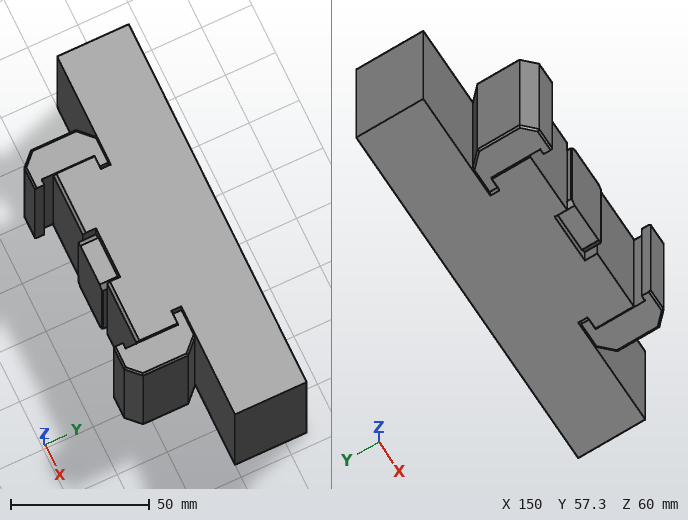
import cadquery as cq

plate_length = 150.0
plate_depth = 28.6
height = 60.0
overall_depth = 57.3

body_half_width = 35.0
body_projection = 20.4
groove_half_width = 29.7
groove_width = 3.9
body_bevel_depth = 1.2
body_bevel_drop = 0.9

channel_width = 20.4
channel_floor = 15.2
key_width = channel_width
key_height = 49.2
key_front = 22.4
key_corner = 2.1
key_side_bevel = 0.5

clamp_outer = 47.2
clamp_inner = 35.4
clamp_gap = 0.5
clamp_end_inset = 0.5
clamp_corner = 5.1
clamp_edge_bevel = 0.8
lip_tip = 30.9
hook_tip = 33.2
hook_thickness = 3.8

clamp_front = plate_depth - overall_depth


def centred_block(width, depth, block_height, front):
    """Box centred in X and Z that runs back from the given front Y."""
    block = cq.Workplane("XY").box(width, depth, block_height, centered=(True, False, True))
    return block.translate((0, front, 0))


def make_body():
    body = centred_block(2 * body_half_width, body_projection, height, -body_projection)
    bevel = (
        cq.Workplane("YZ")
        .moveTo(-body_projection, height / 2)
        .lineTo(-body_projection + body_bevel_depth, height / 2)
        .lineTo(-body_projection, height / 2 - body_bevel_drop)
        .close()
        .extrude(body_half_width, both=True)
    )
    body = body.cut(bevel)
    groove_depth = body_half_width - groove_half_width
    for side in (-1, 1):
        groove = centred_block(groove_depth, groove_width, height, -groove_width)
        groove_centre = side * (body_half_width + groove_half_width) / 2
        body = body.cut(groove.translate((groove_centre, 0, 0)))
    channel_depth = body_projection - channel_floor
    return body.cut(centred_block(channel_width, channel_depth, height, -body_projection))


def make_key():
    key = centred_block(key_width, key_front - channel_floor, key_height, -key_front)
    key = key.faces("<Y").edges("|Z").chamfer(key_side_bevel)
    return key.edges("|Y").chamfer(key_corner)


def make_clamp():
    """Right-hand clamp with its outer and front end edges bevelled."""
    clamp_height = height - 2 * clamp_end_inset
    outline = [
        (lip_tip, -clamp_gap),
        (clamp_outer - clamp_corner, -clamp_gap),
        (clamp_outer, -clamp_gap - clamp_corner),
        (clamp_outer, clamp_front + clamp_corner),
        (clamp_outer - clamp_corner, clamp_front),
        (hook_tip, clamp_front),
        (hook_tip, clamp_front + hook_thickness),
        (clamp_inner, clamp_front + hook_thickness),
        (clamp_inner, -groove_width),
        (lip_tip, -groove_width),
    ]
    clamp = cq.Workplane("XY").polyline(outline).close().extrude(clamp_height / 2, both=True)
    outer_faces = clamp.faces("not |Z").faces(">X or <Y or >(1,1,0) or >(1,-1,0)")
    return outer_faces.edges("not |Z").chamfer(clamp_edge_bevel)


plate = centred_block(plate_length, plate_depth, height, 0)
right_clamp = make_clamp()
left_clamp = right_clamp.mirror("YZ")

result = plate.union(make_body()).union(make_key()).union(right_clamp).union(left_clamp)